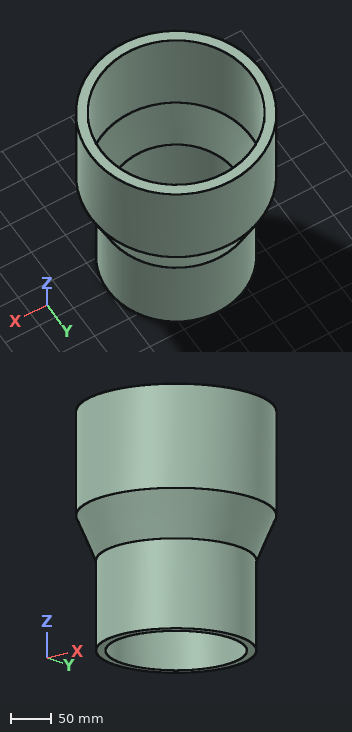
import cadquery as cq

height = 310.0
socket_diameter = 250.0
socket_bore = 220.5
socket_length = 135.2
spigot_diameter = 200.0
spigot_bore = 176.0
spigot_length = 116.5

step_width = 0.45
step_height = 1.0

cone_bottom = spigot_length
cone_top = height - socket_length


def revolved_body(spigot_radius, transition, socket_radius):
    """Solid about Z: spigot, transition through (radius, level) points, socket."""
    profile = [
        (0, 0),
        (spigot_radius, 0),
        (spigot_radius, cone_bottom),
        *transition,
        (socket_radius, height),
        (0, height),
    ]
    return cq.Workplane("XZ").polyline(profile).close().revolve(360, (0, 0, 0), (0, 1, 0))


outer_spigot_radius = spigot_diameter / 2
outer_socket_radius = socket_diameter / 2
outer = revolved_body(
    outer_spigot_radius,
    [
        (outer_spigot_radius + step_width, cone_bottom + step_height),
        (outer_socket_radius, cone_top),
    ],
    outer_socket_radius,
)

inner_spigot_radius = spigot_bore / 2
inner_socket_radius = socket_bore / 2
bore = revolved_body(
    inner_spigot_radius,
    [
        (inner_spigot_radius + step_width, cone_bottom + step_height),
        (inner_socket_radius - step_width, cone_top),
        (inner_socket_radius, cone_top + step_height),
    ],
    inner_socket_radius,
)

result = outer.cut(bore)